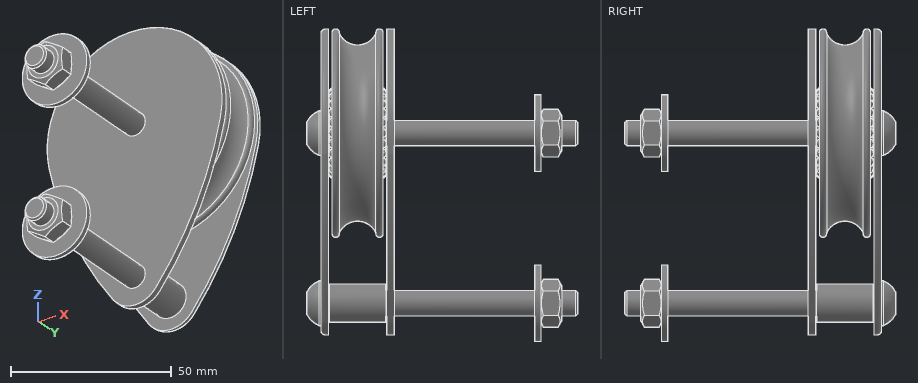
import cadquery as cq
import math


overall_height = 97.5
overall_depth = 84.4
overall_width = 65.0

sheave_radius = overall_width / 2
sheave_thickness = 16.0
groove_bottom_radius = 27.5
groove_arc_radius = 6.2
rim_round = 1.2

ball_count = 24
ball_radius = 1.5
ball_ring_radius = 12.7
ball_protrusion = 1.0

plate_gap = 18.0
plate_thickness = 2.4
plate_tip_radius = 9.9
plate_flank_radius = 129.7
plate_edge_fillet = 1.5

bolt_diameter = 8.0
bolt_end_chamfer = 0.7
head_diameter = 14.0
head_height = 4.4
head_rim_height = 0.5
head_flat_diameter = 7.0
head_dome_bulge = 0.5
washer_diameter = 24.0
washer_thickness = 2.0
nut_across_flats = 13.0
nut_height = 6.4
nut_inner_face_diameter = 12.7
nut_outer_face_diameter = 11.0
nut_chamfer_angle = 30.0
bolt_end_length = 5.0
sleeve_diameter = 12.0
sleeve_length = 17.55

axis_spacing = overall_height - sheave_radius - washer_diameter / 2
axis_heights = (0.0, -axis_spacing)
plate_inner_y = plate_gap / 2
plate_outer_y = plate_inner_y + plate_thickness
head_top_y = plate_outer_y + head_height
bolt_end_y = head_top_y - overall_depth
nut_outer_y = bolt_end_y + bolt_end_length
nut_inner_y = nut_outer_y + nut_height
washer_inner_y = nut_inner_y + washer_thickness


def cylinder(diameter, y_low, y_high):
    """Round bar along Y between two Y positions."""
    return cq.Workplane("XZ", origin=(0, y_high, 0)).circle(diameter / 2).extrude(y_high - y_low)


def revolve_about_y(profile):
    """Turn a closed profile, drawn as (radius, y), around the Y axis."""
    return profile.revolve(360, (0, 0, 0), (0, 1, 0))


def sheave():
    """Disc with a circular rope groove and two rounded rims."""
    half = sheave_thickness / 2
    rim_base_radius = sheave_radius - rim_round
    groove_edge_y = half - 2 * rim_round
    groove_centre_radius = groove_bottom_radius + groove_arc_radius
    groove_edge_radius = groove_centre_radius - math.sqrt(groove_arc_radius**2 - groove_edge_y**2)
    profile = (
        cq.Workplane("XY")
        .moveTo(0, -half)
        .lineTo(rim_base_radius, -half)
        .threePointArc((sheave_radius, -half + rim_round), (rim_base_radius, -groove_edge_y))
        .lineTo(groove_edge_radius, -groove_edge_y)
        .threePointArc((groove_bottom_radius, 0), (groove_edge_radius, groove_edge_y))
        .lineTo(rim_base_radius, groove_edge_y)
        .threePointArc((sheave_radius, half - rim_round), (rim_base_radius, half))
        .lineTo(0, half)
        .close()
    )
    return revolve_about_y(profile)


def ball_ring(side):
    """Ring of balls standing proud of one sheave face; side is +1 or -1 along Y."""
    centre_y = side * (sheave_thickness / 2 + ball_protrusion - ball_radius)
    return (
        cq.Workplane("XZ", origin=(0, centre_y, 0))
        .polarArray(ball_ring_radius, 0, 360, ball_count)
        .sphere(ball_radius)
    )


def teardrop_plate(y_low):
    """Plate with a large top arc and a small tip arc joined by tangent flank arcs."""
    to_top = plate_flank_radius - sheave_radius
    to_tip = plate_flank_radius - plate_tip_radius
    centre_z = (to_tip**2 - to_top**2 - axis_spacing**2) / (2 * axis_spacing)
    centre_x = math.sqrt(to_top**2 - centre_z**2)

    top_angle = math.asin(centre_z / to_top)
    tip_angle = math.asin((centre_z + axis_spacing) / to_tip)

    def flank_point(angle):
        x = plate_flank_radius * math.cos(angle) - centre_x
        z = centre_z - plate_flank_radius * math.sin(angle)
        return x, z

    top_x, top_z = flank_point(top_angle)
    mid_x, mid_z = flank_point((top_angle + tip_angle) / 2)
    tip_x, tip_z = flank_point(tip_angle)
    return (
        cq.Workplane("XZ", origin=(0, y_low + plate_thickness, 0))
        .moveTo(-top_x, top_z)
        .threePointArc((0, sheave_radius), (top_x, top_z))
        .threePointArc((mid_x, mid_z), (tip_x, tip_z))
        .threePointArc((0, -axis_spacing - plate_tip_radius), (-tip_x, tip_z))
        .threePointArc((-mid_x, mid_z), (-top_x, top_z))
        .close()
        .extrude(plate_thickness)
    )


def bolt():
    """Button-head bolt with a chamfered end."""
    head_radius = head_diameter / 2
    flat_radius = head_flat_diameter / 2
    rim_y = plate_outer_y + head_rim_height

    head_profile = (
        cq.Workplane("XY")
        .moveTo(0, plate_outer_y)
        .lineTo(head_radius, plate_outer_y)
        .lineTo(head_radius, rim_y)
        .sagittaArc((flat_radius, head_top_y), -head_dome_bulge)
        .lineTo(0, head_top_y)
        .close()
    )
    shank = cylinder(bolt_diameter, bolt_end_y, plate_outer_y).faces("<Y").chamfer(bolt_end_chamfer)
    return shank.union(revolve_about_y(head_profile))


def nut():
    """Hexagon nut with corners up and down, its corners cut back by cones at both faces."""
    across_corners = nut_across_flats / math.cos(math.radians(30))
    corner_radius = across_corners / 2
    inner_face_radius = nut_inner_face_diameter / 2
    outer_face_radius = nut_outer_face_diameter / 2
    slope = math.tan(math.radians(nut_chamfer_angle))
    hexagon = (
        cq.Workplane("XZ", origin=(0, nut_inner_y, 0))
        .transformed(rotate=(0, 0, 90))
        .polygon(6, across_corners)
        .extrude(nut_height)
    )
    envelope = (
        cq.Workplane("XY")
        .moveTo(0, nut_outer_y)
        .lineTo(outer_face_radius, nut_outer_y)
        .lineTo(corner_radius, nut_outer_y + (corner_radius - outer_face_radius) * slope)
        .lineTo(corner_radius, nut_inner_y - (corner_radius - inner_face_radius) * slope)
        .lineTo(inner_face_radius, nut_inner_y)
        .lineTo(0, nut_inner_y)
        .close()
    )
    return hexagon.intersect(revolve_about_y(envelope))


def bolt_set():
    """Bolt with its nut, washer and the spacer sleeve between the plates."""
    washer = cylinder(washer_diameter, nut_inner_y, washer_inner_y)
    sleeve = cylinder(sleeve_diameter, -sleeve_length / 2, sleeve_length / 2)
    return bolt().union(washer).union(nut()).union(sleeve)


front_plate = teardrop_plate(-plate_outer_y)
back_plate = teardrop_plate(plate_inner_y).faces(">Y").edges().fillet(plate_edge_fillet)

result = sheave().union(ball_ring(1)).union(ball_ring(-1)).union(front_plate).union(back_plate)
for axis_z in axis_heights:
    result = result.union(bolt_set().translate((0, 0, axis_z)))